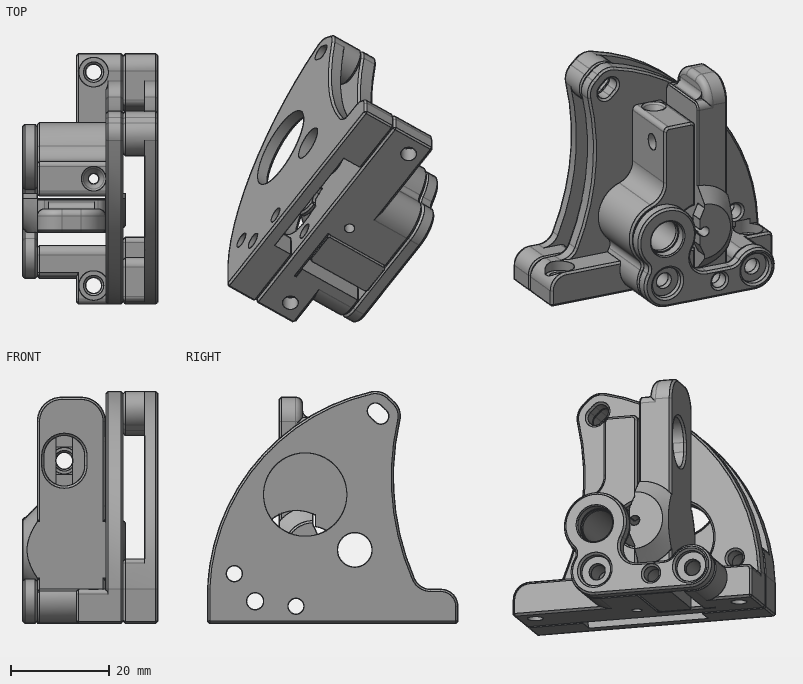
import cadquery as cq
import math


cover_back = 3.0
base_front = 10.95
plate_front = 17.0
seam = 20.5
back_plate_front = 24.9
stack_end = 27.6
spacer_depth = back_plate_front - seam

length = 51.0
base_height = 6.95
edge_chamfer = 0.45
hole_chamfer = 0.45
bottom_chamfer = 0.35
corner_radius = 3.5
small_hole = 3.2
screw_hole = 3.4

sector_radius = 42.85
sector_center_z = 5.35
sector_rise = base_height - sector_center_z
sector_center = (math.sqrt(sector_radius**2 - sector_rise**2), sector_center_z)
tip_radius = 4.0
tip_y = 34.15
tip_rise = math.sqrt((sector_radius - tip_radius) ** 2 - (sector_center[0] - tip_y) ** 2)
tip_near = (tip_y, sector_center[1] + tip_rise)
slot_offset = (1.1, -1.05)
tip_far = (tip_near[0] + slot_offset[0], tip_near[1] + slot_offset[1])
tip_center = ((tip_near[0] + tip_far[0]) / 2, (tip_near[1] + tip_far[1]) / 2)
slot_travel = math.hypot(*slot_offset)
slot_angle = math.degrees(math.atan2(slot_offset[1], slot_offset[0]))
hollow_radius = 51.85
hollow_z = 29.75
hollow_reach = math.sqrt((hollow_radius + tip_radius) ** 2 - (tip_far[1] - hollow_z) ** 2)
hollow_center = (tip_far[0] + hollow_reach, hollow_z)
heel_radius = 3.55

bore = (30.0, 14.95)
bore_diameter = 7.0
lower_screw = (bore[0], 5.2)
end_screw_radius = 4.5
end_screw = (9.7, end_screw_radius)
middle_pin = (18.0, 3.45)
outer_pin = (5.45, 10.1)

cover_bore = 7.45
cover_bore_depth = 2.2
cover_bore_chamfer = 0.25
cover_boss_radius = 6.65
foot_radius = lower_screw[1]
neck_radius = 1.8
cover_bar_height = 6.0
cover_notch_radius = 3.8
cover_blend_radius = 2.6
screw_head = 6.5
screw_head_depth = 1.65
blind_screw_end = 8.15
drill_point = 1.0

boss_radius = 7.01
tower_near = 22.0
tower_far = 29.05
tower_height = 38.05
tower_round = 1.0
tower_blend_radius = 4.55
arm_side = 11.95
arm_round = 1.95
base_end_round = 1.0
mount_x = 14.5
mount_inset = 3.75
mount_head = 6.0
mount_head_floor = 4.9
mount_head_top = 8.0
tower_hole = 2.1
tower_hole_top = 4.2
tower_hole_cone = 1.8
tower_hole_lip = 0.4

window_diameter = 17.0
opening_diameter = 16.05
plate_opening = (18.15, bore[1])
window = (19.9, 26.2)

near_step = 9.45
near_side = 13.6
near_height = 13.1
near_top_round = 1.95
near_low_round = 1.05
near_edge_round = 0.95
far_top = 40.5
far_foot = 39.05
far_round = 1.3

pivot = (21.45, bore[1])
lever_left = cover_back
lever_right = 16.9
lever_width = lever_right - lever_left
lever_front = 14.6
thumb_back = 19.4
lever_top = 46.05
thumb_corner = 5.0
thumb_round = 1.45
lever_chamfer = 0.45
shoulder_top = 41.9
shoulder_round = 1.5
shoulder_blend_inset = 2.25
shoulder_chamfer = 0.3
hub_radius = 9.0
hub_tip_radius = 5.95
hub_end = 20.95
hub_flat = 22.55
hub_flat_half = 2.85
hub_slope_half = 5.2
keyhole = 2.1
keyhole_mouth = 1.35
notch_radius = 4.75
seat_gap = 0.2
pocket_x = 8.5
pocket_z = 33.1
pocket_width = 8.3
pocket_height = 10.3
pocket_floor = 18.25
pocket_step = 0.45
relief_height = 5.6
relief_diameter = 5.4
pull_hole_mouth = 4.2


def toward(start, end, distance):
    """Point at a distance from start, on the line to end."""
    span = math.dist(start, end)
    return tuple(a + (b - a) * distance / span for a, b in zip(start, end))


def middle(center, start, end):
    """Middle of the shorter arc about center from start to end."""
    half_way = ((start[0] + end[0]) / 2, (start[1] + end[1]) / 2)
    return toward(center, half_way, math.dist(center, start))


def meet(center_a, radius_a, center_b, radius_b):
    """Crossing of two circles, on the left of the way from center_a to center_b."""
    span = math.dist(center_a, center_b)
    along = (radius_a**2 - radius_b**2 + span**2) / (2 * span)
    across = math.sqrt(radius_a**2 - along**2)
    dy = (center_b[0] - center_a[0]) / span
    dz = (center_b[1] - center_a[1]) / span
    return (center_a[0] + along * dy - across * dz, center_a[1] + along * dz + across * dy)


def profile_at(x):
    return cq.Workplane("YZ", origin=(x, 0, 0))


def block(x, y, z):
    """Box from its (low, high) range on each axis."""
    size = [high - low for low, high in (x, y, z)]
    return cq.Workplane("XY").box(*size, centered=False).translate((x[0], y[0], z[0]))


def rod(center, diameter, start, end):
    """Cylinder along X."""
    return profile_at(start).center(*center).circle(diameter / 2).extrude(end - start)


def funnel(center, diameter, face, depth):
    """45-degree countersink that opens at a face looking to -X."""
    radius = diameter / 2
    return cq.Workplane(cq.Solid.makeCone(
        radius + depth, radius, depth, cq.Vector(face, *center), cq.Vector(1, 0, 0)))


def chamfered_hole(center, diameter, start, end, chamfer=hole_chamfer):
    return rod(center, diameter, start, end).union(funnel(center, diameter, start, chamfer))


def tip_oval(start, width):
    """Oval sketch around both centres of the tip."""
    return profile_at(start).center(*tip_center).slot2D(slot_travel + width, width, slot_angle)


def tip_slot(start):
    """Slotted hole in the tip with a chamfered mouth."""
    slot = tip_oval(start, small_hole).extrude(stack_end - start)
    mouth = tip_oval(start, small_hole + 2 * hole_chamfer).extrude(hole_chamfer, taper=45)
    return slot.union(mouth)


def sector_outline(x):
    """Base strip with the sector above it, up to the rounded tip."""
    arc_start = (0, base_height)
    arc_end = toward(sector_center, tip_near, sector_radius)
    flank = (-slot_offset[1], slot_offset[0])
    near_flank = (tip_near[0] + flank[0], tip_near[1] + flank[1])
    far_flank = (tip_far[0] + flank[0], tip_far[1] + flank[1])
    tip_start = toward(tip_near, near_flank, tip_radius)
    tip_middle = toward(tip_far, far_flank, tip_radius)
    tip_end = toward(tip_far, hollow_center, tip_radius)
    heel_z = base_height + heel_radius
    heel_y = hollow_center[0] - math.sqrt((hollow_radius - heel_radius) ** 2 - (hollow_z - heel_z) ** 2)
    heel = (heel_y, heel_z)
    heel_start = toward(hollow_center, heel, hollow_radius)
    heel_end = (heel_y, base_height)
    corner = (length - corner_radius, base_height - corner_radius)
    corner_start = (corner[0], base_height)
    corner_end = (length, corner[1])
    return (
        profile_at(x)
        .moveTo(bottom_chamfer, 0)
        .lineTo(0, bottom_chamfer)
        .lineTo(*arc_start)
        .threePointArc(middle(sector_center, arc_start, arc_end), arc_end)
        .threePointArc(middle(tip_near, arc_end, tip_start), tip_start)
        .lineTo(*tip_middle)
        .threePointArc(middle(tip_far, tip_middle, tip_end), tip_end)
        .threePointArc(middle(hollow_center, tip_end, heel_start), heel_start)
        .threePointArc(middle(heel, heel_start, heel_end), heel_end)
        .lineTo(*corner_start)
        .threePointArc(middle(corner, corner_start, corner_end), corner_end)
        .lineTo(length, bottom_chamfer)
        .lineTo(length - bottom_chamfer, 0)
        .close()
    )


def neck_center(upper_radius):
    """Centre of the neck arc that joins the bore boss to the foot circle below it."""
    return meet(bore, upper_radius + neck_radius, lower_screw, foot_radius + neck_radius)


def cover_outline():
    foot_bottom = (lower_screw[0], 0)
    neck = neck_center(cover_boss_radius)
    neck_low = toward(lower_screw, neck, foot_radius)
    neck_high = toward(bore, neck, cover_boss_radius)
    notch_z = cover_bar_height + cover_notch_radius
    notch_reach = math.sqrt((cover_boss_radius + cover_notch_radius) ** 2 - (bore[1] - notch_z) ** 2)
    notch = (bore[0] - notch_reach, notch_z)
    notch_start = toward(bore, notch, cover_boss_radius)
    notch_end = (notch[0], cover_bar_height)
    blend_z = cover_bar_height + cover_blend_radius
    blend_reach = math.sqrt(
        (end_screw_radius + cover_blend_radius) ** 2 - (blend_z - end_screw[1]) ** 2)
    blend = (end_screw[0] + blend_reach, blend_z)
    blend_start = (blend[0], cover_bar_height)
    blend_end = toward(end_screw, blend, end_screw_radius)
    return (
        profile_at(0)
        .moveTo(*foot_bottom)
        .threePointArc(middle(lower_screw, foot_bottom, neck_low), neck_low)
        .threePointArc(middle(neck, neck_low, neck_high), neck_high)
        .threePointArc((bore[0], bore[1] + cover_boss_radius), notch_start)
        .threePointArc(middle(notch, notch_start, notch_end), notch_end)
        .lineTo(*blend_start)
        .threePointArc(middle(blend, blend_start, blend_end), blend_end)
        .threePointArc((end_screw[0] - end_screw_radius, end_screw[1]), (end_screw[0], 0))
        .close()
    )


def tower_outline():
    """Foot, bore boss and tower, with one straight side next to the lever."""
    foot_bottom = (lower_screw[0], 0)
    neck = neck_center(boss_radius)
    neck_low = toward(lower_screw, neck, foot_radius)
    neck_high = toward(bore, neck, boss_radius)
    blend_y = tower_far + tower_blend_radius
    blend_rise = math.sqrt((boss_radius + tower_blend_radius) ** 2 - (blend_y - bore[0]) ** 2)
    blend = (blend_y, bore[1] + blend_rise)
    blend_low = toward(bore, blend, boss_radius)
    blend_high = (tower_far, blend[1])
    return (
        profile_at(cover_back)
        .moveTo(*foot_bottom)
        .threePointArc(middle(lower_screw, foot_bottom, neck_low), neck_low)
        .threePointArc(middle(neck, neck_low, neck_high), neck_high)
        .threePointArc(middle(bore, neck_high, blend_low), blend_low)
        .threePointArc(middle(blend, blend_low, blend_high), blend_high)
        .lineTo(tower_far, tower_height)
        .lineTo(tower_near, tower_height)
        .lineTo(tower_near, 0)
        .close()
    )


def make_cover():
    cover = cover_outline().extrude(cover_back).faces("<X or >X").edges().chamfer(edge_chamfer)
    cover = cover.cut(rod(bore, bore_diameter, 0, cover_back))
    cover = cover.cut(chamfered_hole(bore, cover_bore, 0, cover_bore_depth, cover_bore_chamfer))
    cover = cover.cut(chamfered_hole(middle_pin, small_hole, 0, cover_back))
    for center in (lower_screw, end_screw):
        cover = cover.cut(rod(center, screw_hole, 0, cover_back))
        cover = cover.cut(chamfered_hole(center, screw_head, 0, screw_head_depth))
    return cover


def make_tower():
    tower = tower_outline().extrude(seam - edge_chamfer - cover_back)
    tower = tower.edges("|X").edges(">Z").fillet(tower_round)
    return tower.faces("<X").edges().chamfer(edge_chamfer)


def make_arm():
    """Arm behind the end screw, cut flat at the height of the base."""
    flat_half = math.sqrt(end_screw_radius**2 - (base_height - end_screw[1]) ** 2)
    arm = (
        profile_at(cover_back)
        .moveTo(end_screw[0], 0)
        .lineTo(arm_side, 0)
        .lineTo(arm_side, base_height - arm_round)
        .radiusArc((arm_side - arm_round, base_height), -arm_round)
        .lineTo(end_screw[0] - flat_half, base_height)
        .threePointArc((end_screw[0] - end_screw_radius, end_screw[1]), (end_screw[0], 0))
        .close()
        .extrude(plate_front - cover_back)
    )
    arm = arm.edges("|X").edges(">Z").edges("<Y").chamfer(edge_chamfer)
    return arm.faces("<X").edges().chamfer(edge_chamfer)


def make_base_end(near, far):
    """End of the base strip in front of the plate, with its outer top edge rounded."""
    end = block((base_front, seam - edge_chamfer), (near, far), (0, base_height))
    if near == 0:
        end = end.edges("|X").edges("<Y").edges(">Z").fillet(base_end_round)
        end = end.edges("|X").edges("<Y").edges("<Z").chamfer(bottom_chamfer)
    else:
        end = end.edges("|X").edges(">Y").edges(">Z").fillet(corner_radius)
        end = end.edges("|X").edges(">Y").edges("<Z").chamfer(bottom_chamfer)
    return end.faces("<X").edges().chamfer(edge_chamfer)


def plate_opening_cutter():
    """Round opening that stops at the tower side, with a cone seat for the hub."""
    opening = chamfered_hole(plate_opening, opening_diameter, plate_front, seam)
    seat_radius = hub_radius + seat_gap
    seat_depth = hub_radius - hub_tip_radius
    seat = cq.Workplane(cq.Solid.makeCone(
        seat_radius, hub_tip_radius + seat_gap, seat_depth,
        cq.Vector(lever_right, *pivot), cq.Vector(1, 0, 0)))
    near_half = block((plate_front, seam), (0, tower_near), (0, length))
    return opening.union(seat).intersect(near_half)


def hub_notch():
    """Round clearance for the hub that leaves the bore boss standing."""
    notch = chamfered_hole(pivot, 2 * notch_radius, cover_back, seam)
    return notch.cut(rod(bore, 2 * cover_boss_radius, cover_back, seam))


def make_housing():
    plate = sector_outline(plate_front).extrude(seam - plate_front)
    plate = plate.faces("<X or >X").edges().chamfer(edge_chamfer)
    plate = plate.cut(plate_opening_cutter())
    plate = plate.cut(tip_slot(plate_front))
    housing = plate.union(make_tower()).union(make_arm())
    housing = housing.union(make_base_end(0, end_screw[0])).union(make_base_end(bore[0], length))
    housing = housing.cut(hub_notch())
    housing = housing.cut(rod(bore, bore_diameter, cover_back, seam))
    housing = housing.cut(rod(end_screw, screw_hole, cover_back, seam))
    housing = housing.cut(rod(lower_screw, screw_hole, cover_back, blind_screw_end))
    housing = housing.cut(cq.Workplane(cq.Solid.makeCone(
        screw_hole / 2, 0, drill_point, cq.Vector(blind_screw_end, *lower_screw), cq.Vector(1, 0, 0))))
    housing = housing.cut(rod(middle_pin, small_hole, plate_front, seam))
    housing = housing.cut(chamfered_hole(outer_pin, small_hole, plate_front, seam))
    for y in (mount_inset, length - mount_inset):
        housing = housing.cut(make_mount_hole(y))
    housing = housing.cut(make_tower_hole())
    return housing.cut(pull_hole())


def make_mount_hole(y):
    """Vertical mounting hole with a chamfered, counterbored top."""
    floor = cq.Workplane("XY", origin=(mount_x, y, mount_head_floor))
    hole = floor.circle(small_hole / 2).extrude(-mount_head_floor)
    mouth = floor.circle(small_hole / 2 + hole_chamfer).extrude(-hole_chamfer, taper=45)
    head = floor.circle(mount_head / 2).extrude(mount_head_top - mount_head_floor)
    return hole.union(mouth).union(head)


def make_tower_hole():
    """Vertical hole down the tower with a conical mouth."""
    y = (tower_near + tower_far) / 2
    slope = (tower_hole_top - tower_hole) / 2
    return (
        cq.Workplane("XZ", origin=(mount_x, y, 0))
        .moveTo(0, 0)
        .lineTo(tower_hole / 2, 0)
        .lineTo(tower_hole / 2, tower_height - tower_hole_lip - tower_hole_cone)
        .lineTo(tower_hole / 2 + slope, tower_height - tower_hole_lip)
        .lineTo(tower_hole / 2 + slope + tower_hole_lip, tower_height)
        .lineTo(0, tower_height)
        .close()
        .revolve(360, (0, 0, 0), (0, 1, 0))
    )


def pull_hole():
    """Hole along Y through the lever pocket and the tower."""
    face = cq.Workplane("XZ", origin=(pocket_x, lever_front, pocket_z))
    return face.circle(screw_hole / 2).extrude(-length)


def make_near_spacer():
    """Stepped spacer at the foot of the sector edge."""
    span = (seam, back_plate_front)
    high = block(span, (0, near_step), (0, near_height))
    high = high.edges("|X").edges(">Z").edges(">Y").fillet(near_top_round)
    low = block(span, (0, near_side), (0, base_height))
    low = low.edges("|X").edges(">Z").edges(">Y").fillet(near_low_round)
    spacer = high.union(low).intersect(sector_outline(seam).extrude(spacer_depth))
    spacer = spacer.edges("|X").edges(">Z").edges("<Y").fillet(near_edge_round)
    return spacer.faces("<X").edges().chamfer(edge_chamfer)


def make_far_spacer():
    """Spacer at the rounded end of the base, with a steep inner side."""
    spacer = (
        profile_at(seam)
        .polyline([(far_foot, 0), (length, 0), (length, base_height), (far_top, base_height)])
        .close()
        .extrude(spacer_depth)
    )
    spacer = spacer.edges("|X").edges(">Z").edges("<Y").fillet(far_round)
    spacer = spacer.edges("|X").edges(">Y").edges(">Z").fillet(corner_radius)
    spacer = spacer.edges("|X").edges(">Y").edges("<Z").chamfer(bottom_chamfer)
    return spacer.faces("<X").edges().chamfer(edge_chamfer)


def make_tip_spacer():
    return tip_oval(seam, 2 * tip_radius).extrude(spacer_depth).faces("<X").edges().chamfer(edge_chamfer)


def make_back_cover():
    plate = sector_outline(back_plate_front).extrude(stack_end - back_plate_front)
    back = plate.faces(">X").edges().chamfer(edge_chamfer)
    back = back.union(make_near_spacer()).union(make_far_spacer()).union(make_tip_spacer())
    back = back.cut(chamfered_hole(window, window_diameter, back_plate_front, stack_end))
    for center, diameter, start in (
        (bore, bore_diameter, back_plate_front),
        (middle_pin, small_hole, back_plate_front),
        (outer_pin, small_hole, seam),
        (end_screw, screw_hole, seam),
    ):
        back = back.cut(rod(center, diameter, start, stack_end))
    return back.cut(tip_slot(seam))


def make_thumb():
    """Full-height front slab with a round top."""
    middle_x = (lever_left + lever_right) / 2
    slab = (
        cq.Workplane("XZ", origin=(middle_x, lever_front, 0))
        .moveTo(0, lever_top / 2)
        .rect(lever_width, lever_top)
        .extrude(lever_front - thumb_back)
    )
    slab = slab.edges("|Y").edges(">Z").fillet(thumb_corner)
    slab = slab.faces("<Y").edges("not <Z").chamfer(lever_chamfer)
    return slab.faces(">Y").edges("not <Z").fillet(thumb_round)


def make_shoulder():
    """Thick lower slab and the hollow blend up to the thumb."""
    span = (lever_left, lever_right)
    start = thumb_back - thumb_round
    shoulder = block(span, (start, pivot[0]), (0, shoulder_top))
    shoulder = shoulder.edges("|Y").edges(">Z").fillet(shoulder_round)
    shoulder = shoulder.faces(">Y").edges("not <Z").chamfer(shoulder_chamfer)
    blend_span = (lever_left + shoulder_blend_inset, lever_right - shoulder_blend_inset)
    blend_y = thumb_back + thumb_round
    blend_z = shoulder_top + thumb_round
    blend = block(blend_span, (start, blend_y), (shoulder_top - thumb_round, blend_z))
    blend = blend.cut(rod((blend_y, blend_z), 2 * thumb_round, *blend_span))
    return shoulder.union(blend)


def make_hub():
    """Double cone about the pivot, flat in front, with a ridge behind it on each side of the slab."""
    cone = hub_radius - hub_tip_radius
    tip_chamfer = hub_end - seam
    turned = (
        cq.Workplane("XY", origin=(0, *pivot))
        .moveTo(0, 0)
        .lineTo(0, hub_tip_radius)
        .lineTo(lever_left, hub_radius)
        .lineTo(lever_right, hub_radius)
        .lineTo(lever_right + cone, hub_tip_radius)
        .lineTo(seam, hub_tip_radius)
        .lineTo(hub_end, hub_tip_radius - tip_chamfer)
        .lineTo(hub_end, 0)
        .close()
        .revolve(360, (0, 0, 0), (1, 0, 0))
    )
    envelope = (
        profile_at(0)
        .center(0, pivot[1])
        .polyline([
            (lever_front, -hub_radius),
            (pivot[0], -hub_radius),
            (pivot[0], -hub_slope_half),
            (hub_flat, -hub_flat_half),
            (hub_flat, hub_flat_half),
            (pivot[0], hub_slope_half),
            (pivot[0], hub_radius),
            (lever_front, hub_radius),
        ])
        .close()
        .extrude(hub_end)
    )
    gap = block((lever_left, lever_right), (pivot[0], hub_flat), (0, lever_top))
    return turned.intersect(envelope).cut(gap)


def make_keyhole():
    """Pivot hole, open to the back of the hub."""
    half_mouth = keyhole_mouth / 2
    mouth = block((0, hub_end), (pivot[0], hub_flat), (pivot[1] - half_mouth, pivot[1] + half_mouth))
    return rod(pivot, keyhole, 0, hub_end).union(mouth)


def make_pocket():
    """Oval pocket with a chamfered rim, then a groove and a relief around the pull hole."""
    face = cq.Workplane("XZ", origin=(pocket_x, lever_front, pocket_z))
    rim = 2 * hole_chamfer
    groove_depth = pocket_floor - lever_front + pocket_step
    oval = face.slot2D(pocket_height, pocket_width, 90).extrude(lever_front - pocket_floor)
    mouth = face.slot2D(pocket_height + rim, pocket_width + rim, 90).extrude(-hole_chamfer, taper=45)
    groove = face.rect(screw_hole, pocket_height).extrude(-groove_depth)
    groove = groove.intersect(face.slot2D(pocket_height, pocket_width, 90).extrude(-groove_depth))
    relief = face.rect(screw_hole, relief_height).extrude(-groove_depth - pocket_step)
    floor = groove_depth + 2 * pocket_step
    depth = (pull_hole_mouth - screw_hole) / 2
    round_relief = face.circle(relief_diameter / 2).extrude(-floor)
    countersink = cq.Workplane(cq.Solid.makeCone(
        pull_hole_mouth / 2, screw_hole / 2, depth,
        cq.Vector(pocket_x, lever_front + floor, pocket_z), cq.Vector(0, 1, 0)))
    slit = face.rect(screw_hole, relief_height).extrude(-floor - depth)
    around_hole = round_relief.union(countersink).intersect(slit)
    return oval.union(mouth).union(groove).union(relief).union(around_hole)


def make_lever():
    lever = make_thumb().union(make_shoulder()).union(make_hub())
    lever = lever.cut(make_keyhole()).cut(make_pocket()).cut(pull_hole())
    return lever.cut(rod(middle_pin, small_hole, lever_left, lever_right))


cover = make_cover().solids()
housing = make_housing().solids()
back_cover = make_back_cover().solids()
lever = make_lever().solids()

result = cq.Compound.makeCompound([cover.val(), housing.val(), back_cover.val(), lever.val()])